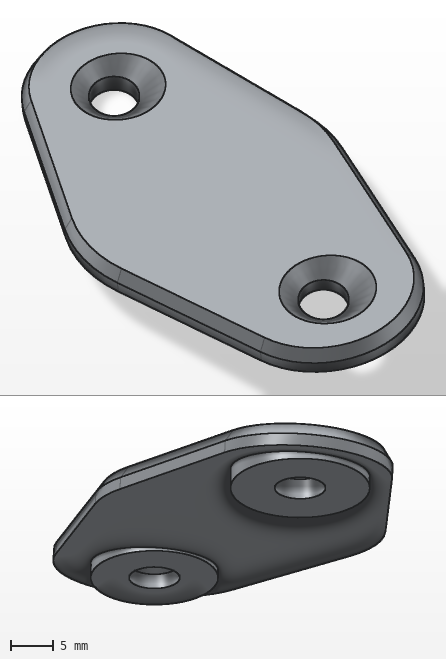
import cadquery as cq
import math

length = 66.3

tilt = 8.6
thickness = 3.0
edge_inset = 1.0
edge_drop = 1.5
middle_diameter = 34.7
left_radius = 10.95
right_radius = 11.95
left_reach = 21.9
lobe_y = 1.45
middle_x = -0.85
middle_top_z = 8.3

wall_lean = (thickness - edge_drop) * math.sin(math.radians(tilt))
plate_length = (length - wall_lean) / math.cos(math.radians(tilt))
right_reach = plate_length - left_radius - left_reach - right_radius

left_boss_diameter = 16.4
right_boss_diameter = 15.0
left_hole_x = -22.3
right_hole_x = 21.4
right_boss_bottom = 7.15
hole_diameter = 6.0
left_sink_radius = 5.5
right_sink_radius = 5.65
tool_height = 26.5


def tangent_points(first, second):
    """Points where the line to the right of travel touches two circles."""
    x1, y1, r1 = first
    x2, y2, r2 = second
    heading = math.atan2(y2 - y1, x2 - x1)
    normal = heading - math.acos((r1 - r2) / math.hypot(x2 - x1, y2 - y1))
    return [(x + r * math.cos(normal), y + r * math.sin(normal)) for x, y, r in (first, second)]


def arc_middle(circle, direction):
    """Point on a circle in the given direction, in degrees."""
    x, y, radius = circle
    angle = math.radians(direction)
    return (x + radius * math.cos(angle), y + radius * math.sin(angle))


def make_plate():
    """Chamfered plate with its top surface in the tilted plane."""
    left = (-left_reach, lobe_y, left_radius)
    middle = (0, 0, middle_diameter / 2)
    right = (right_reach, lobe_y, right_radius)
    lower_left = tangent_points(left, middle)
    lower_right = tangent_points(middle, right)
    upper_right = tangent_points(right, middle)
    upper_left = tangent_points(middle, left)
    outline = (
        cq.Workplane("XY")
        .moveTo(*lower_left[0])
        .lineTo(*lower_left[1])
        .threePointArc(arc_middle(middle, -90), lower_right[0])
        .lineTo(*lower_right[1])
        .threePointArc(arc_middle(right, 0), upper_right[0])
        .lineTo(*upper_right[1])
        .threePointArc(arc_middle(middle, 90), upper_left[0])
        .lineTo(*upper_left[1])
        .threePointArc(arc_middle(left, 180), lower_left[0])
        .close()
    )
    plate = outline.extrude(-thickness)
    chamfered = plate.faces(">Z").chamfer(edge_drop, edge_inset)
    return (
        chamfered
        .rotate((0, 0, 0), (0, 1, 0), -tilt)
        .translate((middle_x, 0, middle_top_z))
    )


def top_height(x):
    """Height of the plate's top surface at x."""
    return middle_top_z + (x - middle_x) * math.tan(math.radians(tilt))


def make_boss(x, diameter, bottom):
    """Upright cylinder trimmed by a sloping plane inside the plate."""
    post = cq.Workplane("XY", origin=(x, lobe_y, bottom)).circle(diameter / 2).extrude(tool_height)
    below_plate = (
        cq.Workplane("XY")
        .box(4 * tool_height, 4 * tool_height, tool_height, centered=(True, True, False))
        .translate((0, 0, -tool_height - (thickness + edge_drop) / 2))
        .rotate((0, 0, 0), (0, 1, 0), -tilt)
        .translate((middle_x, 0, middle_top_z))
    )
    return post.intersect(below_plate)


def make_hole(x, sink_radius):
    """Vertical through hole with a 90 degree countersink."""
    hole_radius = hole_diameter / 2
    sink_bottom = top_height(x) - (sink_radius - hole_radius)
    cone_top_radius = 2 * sink_radius
    cone_height = cone_top_radius - hole_radius
    cone = cq.Solid.makeCone(
        hole_radius, cone_top_radius, cone_height, cq.Vector(x, lobe_y, sink_bottom)
    )
    bore = cq.Workplane("XY", origin=(x, lobe_y, 0)).circle(hole_radius).extrude(tool_height)
    return bore.union(cq.Workplane(cone))


result = make_plate()
result = result.union(make_boss(left_hole_x, left_boss_diameter, 0))
result = result.union(make_boss(right_hole_x, right_boss_diameter, right_boss_bottom))
result = result.cut(make_hole(left_hole_x, left_sink_radius))
result = result.cut(make_hole(right_hole_x, right_sink_radius))